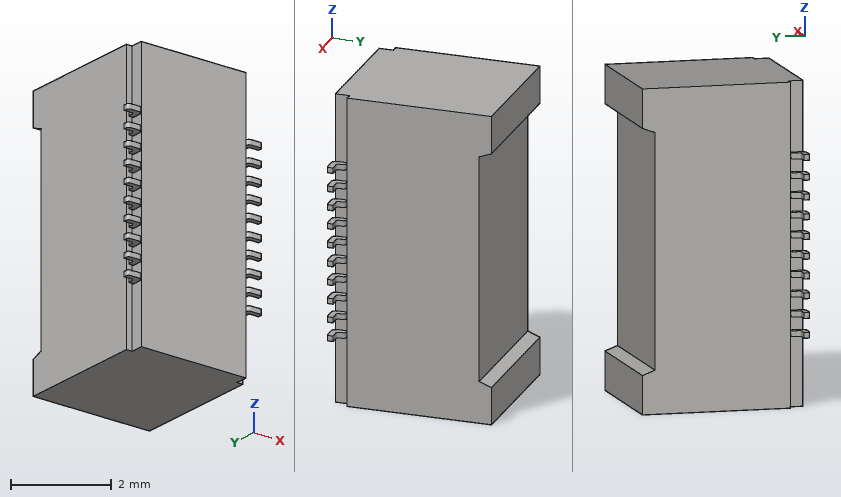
import cadquery as cq

height = 6.6
lead_span = 3.38
total_depth = 3.4

body_width = 2.93
standoff = 0.05
step_inset = 0.145
step_depth = 0.3
recess_depth = 0.26
recess_mouth_margin = 0.8
recess_floor_margin = 0.9

leads_per_side = 10
lead_row_length = 3.6
lead_pitch = lead_row_length / (leads_per_side - 1)
lead_width = 0.12
lead_thickness = 0.13
lead_rise = 0.31
outer_bend_radius = 0.09
inner_bend_radius = 0.045
tip_radius = 0.05
shoulder_radius = 0.05
lead_embed = 0.065

front_y = -total_depth / 2
back_y = total_depth / 2
body_front_y = front_y + standoff
half_wall = body_width / 2 - step_inset
leg_outer_x = half_wall + lead_thickness
tip_x = lead_span / 2


def make_housing():
    """Block with stepped front corners and a shallow recess across the back."""
    body = cq.Workplane("XY").box(body_width, back_y - body_front_y, height)
    body = body.translate((0, (back_y + body_front_y) / 2, 0))
    for side in (-1, 1):
        step = cq.Workplane("XY").box(2 * step_inset, 2 * step_depth, height)
        body = body.cut(step.translate((side * body_width / 2, body_front_y, 0)))
    mouth_z = height / 2 - recess_mouth_margin
    floor_z = height / 2 - recess_floor_margin
    floor_y = back_y - recess_depth
    recess = (
        cq.Workplane("YZ")
        .polyline([(back_y, -mouth_z), (back_y, mouth_z), (floor_y, floor_z), (floor_y, -floor_z)])
        .close()
        .extrude(body_width / 2, both=True)
    )
    return body.cut(recess)


def make_lead():
    """Bent lead on the +X side, centred on Z = 0, with its leg against the step wall."""
    foot_top_y = front_y + lead_thickness
    leg_top_y = front_y + lead_rise
    profile = (
        cq.Workplane("XY")
        .moveTo(half_wall + outer_bend_radius, front_y)
        .lineTo(tip_x - tip_radius, front_y)
        .radiusArc((tip_x, front_y + tip_radius), -tip_radius)
        .lineTo(tip_x, foot_top_y)
        .lineTo(leg_outer_x + inner_bend_radius, foot_top_y)
        .radiusArc((leg_outer_x, foot_top_y + inner_bend_radius), inner_bend_radius)
        .lineTo(leg_outer_x, leg_top_y - shoulder_radius)
        .radiusArc((leg_outer_x - shoulder_radius, leg_top_y), -shoulder_radius)
        .lineTo(half_wall - lead_embed, leg_top_y)
        .lineTo(half_wall - lead_embed, leg_top_y - lead_thickness)
        .lineTo(half_wall, leg_top_y - lead_thickness)
        .lineTo(half_wall, front_y + outer_bend_radius)
        .radiusArc((half_wall + outer_bend_radius, front_y), -outer_bend_radius)
        .close()
    )
    return profile.extrude(lead_width / 2, both=True)


result = make_housing()
right_lead = make_lead()
left_lead = right_lead.mirror("YZ")
for index in range(leads_per_side):
    lead_z = index * lead_pitch - lead_row_length / 2
    for lead in (left_lead, right_lead):
        result = result.union(lead.translate((0, 0, lead_z)))